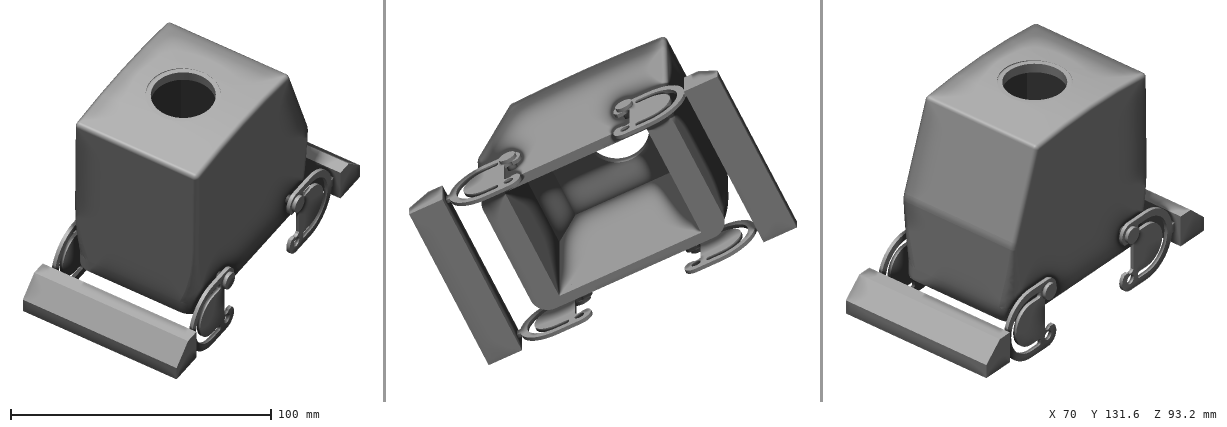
import cadquery as cq
import math


HOOD_WIDTH = 56.0
HOOD_LENGTH = 82.0
SEAL_HEIGHT = 5.6
CREST_HEIGHT = 77.2
CREST_Y = -5.9
TOP_ARCH_RADIUS = 273.0
DRAFT = math.radians(0.75)
SLOPE = math.radians(19.5)
SLOPE_START = 36.0
BEND_RADIUS = 10.0
EDGE_RADIUS = 1.9
RIM_CORNER_RADIUS = 7.2
FLARE_TOP = 34.2
FRONT_FLARE_POWER = 2.1
REAR_FLARE_POWER = 1.3
FLARE_SECTIONS = 5

WALL = 4.0
CAVITY_LENGTH = 60.6
ENTRY_DIAMETER = 25.0
ENTRY_FACE_DIAMETER = 29.0
ENTRY_FACE_DEPTH = 0.45

PLATE_INNER_X = 30.5
PLATE_THICKNESS = 1.5
PLATE_CENTER_Y = 34.7
LEVER_CENTER_Z = -0.5
PLATE_RADIUS = 15.45
SLOT_OUTER_RADIUS = 12.45
SLOT_INNER_RADIUS = 9.45
SLOT_END_Y = 29.35
SLOT_END_ROUNDING = 1.0
PLATE_EDGE_Y = 26.8
HOOK_RADIUS = 5.0
HOOK_Y = 24.9
HOOK_FLAT = 3.6
BITE_RADIUS = 1.75
BITE_OFFSET = 4.5
PIVOT_DIAMETER = 4.0
PIVOT_HEAD_DIAMETER = 7.0
PIVOT_HEAD_THICKNESS = 1.5

BAR_LENGTH = 70.0
BAR_OUTER_Y = 65.8
BAR_DEPTH = 14.2
BAR_HEIGHT = 13.8
BAR_TOP = SEAL_HEIGHT
BAR_BEVEL_DEPTH = 8.2
BAR_BEVEL_HEIGHT = 7.75
TAB_HEIGHT = 4.0

HALF_WIDTH = HOOD_WIDTH / 2
HALF_LENGTH = HOOD_LENGTH / 2
HOOK_OFFSET_Z = PLATE_RADIUS - HOOK_RADIUS
PLATE_OUTER_X = PLATE_INNER_X + PLATE_THICKNESS
ENTRY_FACE_Z = CREST_HEIGHT - ENTRY_FACE_DEPTH
CEILING_Z = ENTRY_FACE_Z - WALL


def end_wall_y(z):
    """Distance of the drafted end walls from the middle of the hood at height z."""
    return HALF_LENGTH - (z - SEAL_HEIGHT) * math.tan(DRAFT)


def slope_y(z):
    """Position of the sloped part of the +Y end wall at height z."""
    return end_wall_y(SLOPE_START) - (z - SLOPE_START) * math.tan(SLOPE)


def arch_z(y):
    """Height of the arched top at position y."""
    return CREST_HEIGHT - TOP_ARCH_RADIUS + math.sqrt(TOP_ARCH_RADIUS**2 - (y - CREST_Y) ** 2)


def extrude_across(sketch, x_start, x_end):
    """Extrude a YZ outline between two X positions."""
    return sketch.extrude(x_end - x_start).translate((x_start, 0, 0))


def upper_hood():
    """Arched and sloped part of the hood above the flared corners."""
    front_z = arch_z(-HALF_LENGTH)
    front_y = -end_wall_y(front_z)
    slope_top_y = slope_y(arch_z(slope_y(front_z)))
    slope_top_z = arch_z(slope_top_y)
    outline = (
        cq.Workplane("YZ")
        .moveTo(-end_wall_y(FLARE_TOP), FLARE_TOP)
        .lineTo(end_wall_y(FLARE_TOP), FLARE_TOP)
        .lineTo(end_wall_y(SLOPE_START), SLOPE_START)
        .lineTo(slope_top_y, slope_top_z)
        .threePointArc((CREST_Y, CREST_HEIGHT), (front_y, arch_z(front_y)))
        .close()
    )
    block = extrude_across(outline, -HALF_WIDTH, HALF_WIDTH)
    bend = cq.selectors.NearestToPointSelector((0, end_wall_y(SLOPE_START), SLOPE_START))
    block = block.edges("|X").edges(bend).fillet(BEND_RADIUS)
    return block.faces("<X or >X or >Z").edges("not <Z").fillet(EDGE_RADIUS)


def flare_radius(below_top, power):
    """Corner radius at a fraction of the flare height below its top."""
    return EDGE_RADIUS + (RIM_CORNER_RADIUS - EDGE_RADIUS) * below_top**power


def flare_outline(below_top):
    """Closed wire around the hood at a fraction of the flare height below its top."""
    z = FLARE_TOP - (FLARE_TOP - SEAL_HEIGHT) * below_top
    outline = cq.Sketch().rect(HOOD_WIDTH, 2 * end_wall_y(z))
    outline = outline.vertices("<Y").fillet(flare_radius(below_top, FRONT_FLARE_POWER)).reset()
    outline = outline.vertices(">Y").fillet(flare_radius(below_top, REAR_FLARE_POWER)).reset()
    slab = cq.Workplane().workplane(offset=z).placeSketch(outline).extrude(FLARE_TOP)
    return slab.faces("<Z").wires().val()


def flared_hood(upper):
    """Lower part of the hood, whose corner radius grows smoothly toward the rim."""
    wires = [flare_outline(1 - section / FLARE_SECTIONS) for section in range(FLARE_SECTIONS)]
    wires.append(upper.faces("<Z").wires().val())
    return cq.Workplane(cq.Solid.makeLoft(wires))


def cavity():
    """Space inside the hood and seal, cut off under the sloped wall."""
    half_length = CAVITY_LENGTH / 2
    slope_wall = WALL / math.cos(SLOPE)
    slope_bottom_z = SLOPE_START + (end_wall_y(SLOPE_START) - slope_wall - half_length) / math.tan(SLOPE)
    outline = (
        cq.Workplane("YZ")
        .moveTo(-half_length, 0)
        .lineTo(half_length, 0)
        .lineTo(half_length, slope_bottom_z)
        .lineTo(slope_y(CEILING_Z) - slope_wall, CEILING_Z)
        .lineTo(-half_length, CEILING_Z)
        .close()
    )
    return extrude_across(outline, WALL - HALF_WIDTH, HALF_WIDTH - WALL)


def vertical_cylinder(diameter, bottom_z, top_z):
    """Upright cylinder on the cable entry axis."""
    return (
        cq.Workplane()
        .workplane(offset=bottom_z)
        .center(0, CREST_Y)
        .circle(diameter / 2)
        .extrude(top_z - bottom_z)
    )


def hood_shell():
    """Hollow hood with its cable entry and the flat face around it."""
    upper = upper_hood()
    shell = upper.union(flared_hood(upper)).cut(cavity())
    shell = shell.cut(vertical_cylinder(ENTRY_DIAMETER, CEILING_Z - WALL, CREST_HEIGHT + WALL))
    return shell.cut(vertical_cylinder(ENTRY_FACE_DIAMETER, ENTRY_FACE_Z, CREST_HEIGHT + WALL))


def cylinder_across(y, z, diameter, x_start, x_end):
    """Cylinder along X centred at (y, z)."""
    return extrude_across(cq.Workplane("YZ").center(y, z).circle(diameter / 2), x_start, x_end)


def box_between(x_range, y_range, z_range):
    """Box spanning the given ranges."""
    sizes = [end - start for start, end in (x_range, y_range, z_range)]
    corner = (x_range[0], y_range[0], z_range[0])
    return cq.Workplane().box(*sizes, centered=False).translate(corner)


def half_round(radius, end_y):
    """D-shaped plate around the lever centre, round toward +Y and ending flat at end_y."""
    outline = (
        cq.Workplane("YZ")
        .moveTo(end_y, LEVER_CENTER_Z - radius)
        .lineTo(PLATE_CENTER_Y, LEVER_CENTER_Z - radius)
        .threePointArc((PLATE_CENTER_Y + radius, LEVER_CENTER_Z), (PLATE_CENTER_Y, LEVER_CENTER_Z + radius))
        .lineTo(end_y, LEVER_CENTER_Z + radius)
        .close()
    )
    return extrude_across(outline, PLATE_INNER_X, PLATE_OUTER_X)


def hook(side):
    """Rounded lug above (side = 1) or below (side = -1) the lever centre, with its flat."""
    hook_z = LEVER_CENTER_Z + side * HOOK_OFFSET_Z
    lug = cylinder_across(HOOK_Y, hook_z, 2 * HOOK_RADIUS, PLATE_INNER_X, PLATE_OUTER_X)
    flat_range = sorted((hook_z - side * HOOK_FLAT, hook_z - side * 2 * HOOK_RADIUS))
    beyond_flat = box_between(
        (PLATE_INNER_X, PLATE_OUTER_X), (HOOK_Y - HOOK_RADIUS, PLATE_EDGE_Y), flat_range
    )
    return lug.cut(beyond_flat)


def cheek_plate():
    """C-slotted plate with a hook at each end of its straight edge."""
    plate = half_round(PLATE_RADIUS, PLATE_EDGE_Y)
    lower_end = box_between(
        (PLATE_INNER_X, PLATE_OUTER_X),
        (HOOK_Y, PLATE_EDGE_Y),
        (LEVER_CENTER_Z - PLATE_RADIUS, LEVER_CENTER_Z - HOOK_OFFSET_Z + HOOK_FLAT),
    )
    upper_end = lower_end.mirror("XY", (0, 0, LEVER_CENTER_Z))
    plate = plate.union(lower_end).union(upper_end)
    for side in (-1, 1):
        bite_z = LEVER_CENTER_Z + side * (HOOK_OFFSET_Z - BITE_OFFSET)
        bite = cylinder_across(
            PLATE_EDGE_Y - BITE_RADIUS, bite_z, 2 * BITE_RADIUS, PLATE_INNER_X, PLATE_OUTER_X
        )
        plate = plate.union(hook(side)).cut(bite)
    slot = half_round(SLOT_OUTER_RADIUS, SLOT_END_Y).cut(half_round(SLOT_INNER_RADIUS, SLOT_END_Y))
    slot = slot.faces("<Y").edges("|X").fillet(SLOT_END_ROUNDING)
    lower_hole = cylinder_across(
        HOOK_Y, LEVER_CENTER_Z - HOOK_OFFSET_Z, PIVOT_DIAMETER, PLATE_INNER_X, PLATE_OUTER_X
    )
    return plate.cut(slot).cut(lower_hole)


def pivot():
    """Pin from the hood wall through the cheek plate, with a flat round head outside."""
    pivot_z = LEVER_CENTER_Z + HOOK_OFFSET_Z
    pin = cylinder_across(HOOK_Y, pivot_z, PIVOT_DIAMETER, HALF_WIDTH, PLATE_OUTER_X)
    head = cylinder_across(
        HOOK_Y, pivot_z, PIVOT_HEAD_DIAMETER, PLATE_OUTER_X, PLATE_OUTER_X + PIVOT_HEAD_THICKNESS
    )
    return pin.union(head)


def grip_bar():
    """Bar joining the two cheek plates, beveled along its outer upper edge."""
    inner_y = BAR_OUTER_Y - BAR_DEPTH
    bottom_z = BAR_TOP - BAR_HEIGHT
    outline = cq.Workplane("YZ").polyline([
        (inner_y, bottom_z),
        (BAR_OUTER_Y, bottom_z),
        (BAR_OUTER_Y, BAR_TOP - BAR_BEVEL_HEIGHT),
        (BAR_OUTER_Y - BAR_BEVEL_DEPTH, BAR_TOP),
        (inner_y, BAR_TOP),
    ]).close()
    return extrude_across(outline, -BAR_LENGTH / 2, BAR_LENGTH / 2)


def bar_tab():
    """Short tab from the rim of the cheek plate to the grip bar."""
    middle_of_arm = (PLATE_RADIUS + SLOT_OUTER_RADIUS) / 2
    return box_between(
        (PLATE_INNER_X, PLATE_OUTER_X),
        (PLATE_CENTER_Y + middle_of_arm, BAR_OUTER_Y - BAR_DEPTH),
        (LEVER_CENTER_Z - TAB_HEIGHT / 2, LEVER_CENTER_Z + TAB_HEIGHT / 2),
    )


def lever():
    """Locking lever at the +Y end of the hood, with its pivots."""
    cheek = cheek_plate().union(pivot()).union(bar_tab())
    return grip_bar().union(cheek).union(cheek.mirror("YZ"))


hood = hood_shell()
rear_lever = lever()
for end_lever in (rear_lever, rear_lever.mirror("XZ")):
    hood = hood.union(end_lever)

seal = (
    cq.Workplane()
    .placeSketch(cq.Sketch().rect(HOOD_WIDTH, HOOD_LENGTH).vertices().fillet(RIM_CORNER_RADIUS))
    .extrude(SEAL_HEIGHT)
    .cut(cavity())
)

result = cq.Compound.makeCompound([hood.val(), seal.val()])